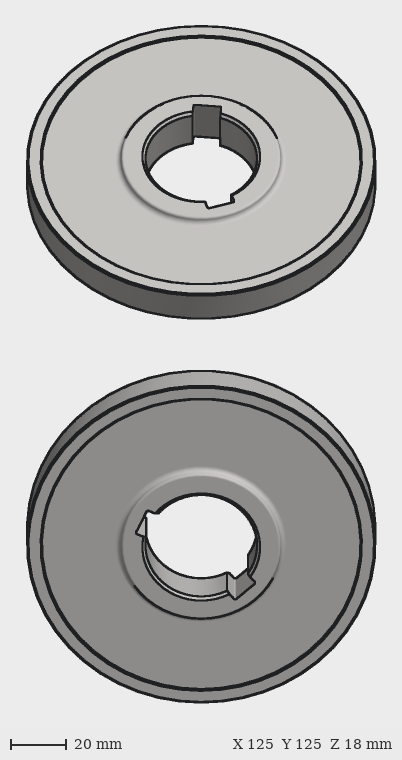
import cadquery as cq
import math

outer_diameter = 125.0
seam_diameter = 114.2
rim_width = 14.0
rim_chamfer = 0.5

face_recess = 0.5
hub_width = 18.0
hub_flat_diameter = 55.4
hub_rounding = 1.0
hub_fillet = 2.0

bore_diameter = 40.0
bore_chamfer = 1.1
keyway_width = 10.0
keyway_depth = 23.6
keyway_corner_radius = 0.6
keyway_angles = (0.0, 157.0)


def disc(diameter, width):
    """Cylinder about Z, centred on the XY plane."""
    return cq.Workplane("XY").circle(diameter / 2).extrude(width).translate((0, 0, -width / 2))


def make_rim():
    """Ring whose inner corners slope down to the recessed web faces."""
    blank = disc(outer_diameter, rim_width).edges().chamfer(rim_chamfer)
    bore = disc(seam_diameter, rim_width)
    bore_mouth = (
        cq.Workplane("XY")
        .workplane(offset=rim_width / 2 - face_recess)
        .circle(seam_diameter / 2)
        .workplane(offset=face_recess)
        .circle(seam_diameter / 2 + face_recess)
        .loft(ruled=True)
    )
    return blank.cut(bore).cut(bore_mouth).cut(bore_mouth.mirror("XY"))


def revolved_core():
    """Web and hub, with a fillet at the hub foot, a rounded hub edge and chamfers on the bore."""
    web_radius = seam_diameter / 2
    web_half_width = rim_width / 2 - face_recess
    hub_flat_radius = hub_flat_diameter / 2
    hub_half_width = hub_width / 2
    bore_radius = bore_diameter / 2

    rounding_center_z = hub_half_width - hub_rounding
    fillet_center_z = web_half_width + hub_fillet
    side_angle = math.asin((fillet_center_z - rounding_center_z) / (hub_rounding + hub_fillet))
    fillet_center_r = hub_flat_radius + (hub_rounding + hub_fillet) * math.cos(side_angle)
    tangent_r = hub_flat_radius + hub_rounding * math.cos(side_angle)
    tangent_z = rounding_center_z + hub_rounding * math.sin(side_angle)

    mid_angle = (side_angle + math.pi / 2) / 2
    rounding_mid_r = hub_flat_radius + hub_rounding * math.cos(mid_angle)
    rounding_mid_z = rounding_center_z + hub_rounding * math.sin(mid_angle)
    fillet_mid_r = fillet_center_r - hub_fillet * math.cos(mid_angle)
    fillet_mid_z = fillet_center_z - hub_fillet * math.sin(mid_angle)

    bore_mouth_r = bore_radius + bore_chamfer
    bore_mouth_z = hub_half_width - bore_chamfer
    return (
        cq.Workplane("XZ")
        .moveTo(bore_radius, bore_mouth_z)
        .lineTo(bore_mouth_r, hub_half_width)
        .lineTo(hub_flat_radius, hub_half_width)
        .threePointArc((rounding_mid_r, rounding_mid_z), (tangent_r, tangent_z))
        .threePointArc((fillet_mid_r, fillet_mid_z), (fillet_center_r, web_half_width))
        .lineTo(web_radius, web_half_width)
        .lineTo(web_radius, -web_half_width)
        .lineTo(fillet_center_r, -web_half_width)
        .threePointArc((fillet_mid_r, -fillet_mid_z), (tangent_r, -tangent_z))
        .threePointArc((rounding_mid_r, -rounding_mid_z), (hub_flat_radius, -hub_half_width))
        .lineTo(bore_mouth_r, -hub_half_width)
        .lineTo(bore_radius, -bore_mouth_z)
        .close()
        .revolve(360, (0, 0, 0), (0, 1, 0))
    )


def keyway_cutter(angle):
    """Slot from the bore axis outward, with rounded floor corners."""
    return (
        cq.Workplane("XY")
        .box(keyway_depth, keyway_width, hub_width, centered=(False, True, True))
        .edges("|Z and >X")
        .fillet(keyway_corner_radius)
        .rotate((0, 0, 0), (0, 0, 1), angle)
    )


def make_core():
    core = revolved_core()
    for angle in keyway_angles:
        core = core.cut(keyway_cutter(angle))
    return core


rim = make_rim()
core = make_core()

result = cq.Compound.makeCompound([rim.val(), core.val()])